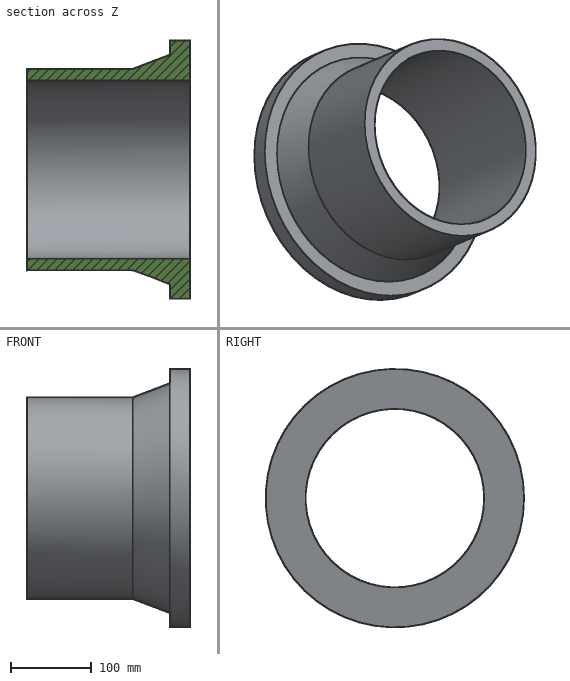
import cadquery as cq

total_length = 202.0
flange_diameter = 320
flange_thickness = 25.0
pipe_diameter = 250.0
bore_diameter = 220.5
neck_length = 45.8
neck_end_diameter = 284.8

flange_start = total_length - flange_thickness
neck_start = flange_start - neck_length

wall_section = (
    cq.Workplane("XY")
    .moveTo(0, bore_diameter / 2)
    .lineTo(0, pipe_diameter / 2)
    .lineTo(neck_start, pipe_diameter / 2)
    .lineTo(flange_start, neck_end_diameter / 2)
    .lineTo(flange_start, flange_diameter / 2)
    .lineTo(total_length, flange_diameter / 2)
    .lineTo(total_length, bore_diameter / 2)
    .close()
)

result = wall_section.revolve(360, (0, 0, 0), (1, 0, 0))